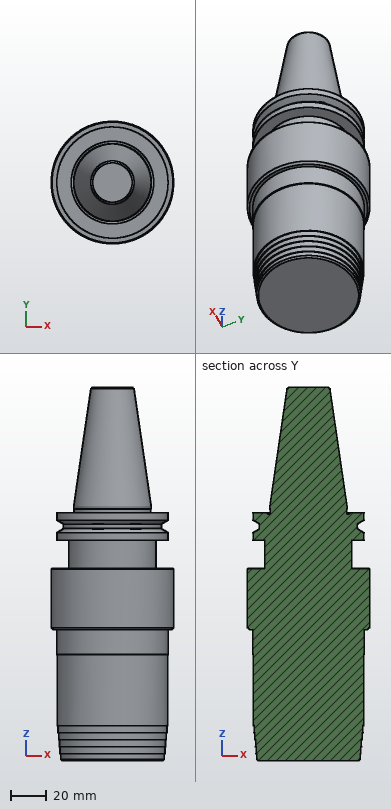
import cadquery as cq
import math


GAUGE_RADIUS = 44.45 / 2
TAPER_SLOPE = 7 / 24 / 2
SHANK_LENGTH = 68.4
SHANK_CHAMFER = 1.0
GAUGE_LAND = 1.0
RELIEF_RADIUS = 22.0

FLANGE_RADIUS = 63.55 / 2
FLANGE_TOP = -3.2
FLANGE_BOTTOM = -19.1
GROOVE_CENTER = -11.1
GROOVE_FLOOR_RADIUS = 56.25 / 2
GROOVE_FLOOR_WIDTH = 2.8
GROOVE_FILLET = 0.5
GROOVE_FLANK_ANGLE = 30.0
RECESS_RADIUS = 23.6

NECK_RADIUS = 25.0
BODY_RADIUS = 35.0
BODY_TOP = -35.0
BODY_TOP_CHAMFER = 0.5
BODY_BOTTOM = -70.2
BODY_BOTTOM_CHAMFER = 1.3

COLLAR_RADIUS = 31.9
COLLAR_BOTTOM = -84.5
SLEEVE_RADIUS = 31.6
COLLAR_CHAMFER = COLLAR_RADIUS - SLEEVE_RADIUS
SLEEVE_BOTTOM = -124.8

NOSE_RING_COUNT = 5
NOSE_RING_HEIGHT = 4.0
NOSE_RING_STEP = 0.4
NOSE_BOTTOM = -145.0
NOSE_CHAMFER = 1.0


def revolve_profile(points):
    """Solid of revolution about Z from (radius, height) points, closed along the axis."""
    bottom = points[-1][1]
    top = points[0][1]
    outline = [(0, top)] + points + [(0, bottom)]
    return cq.Workplane("XZ").polyline(outline).close().revolve(360, (0, 0, 0), (0, 1, 0))


def make_shank():
    tip_radius = GAUGE_RADIUS - SHANK_LENGTH * TAPER_SLOPE
    relief_start = -GAUGE_LAND - (GAUGE_RADIUS - RELIEF_RADIUS)
    return revolve_profile([
        (tip_radius - SHANK_CHAMFER, SHANK_LENGTH),
        (tip_radius + SHANK_CHAMFER * TAPER_SLOPE, SHANK_LENGTH - SHANK_CHAMFER),
        (GAUGE_RADIUS, 0),
        (GAUGE_RADIUS, -GAUGE_LAND),
        (RELIEF_RADIUS, relief_start),
        (RELIEF_RADIUS, FLANGE_TOP),
    ])


def make_flange():
    flank_rise = (FLANGE_RADIUS - GROOVE_FLOOR_RADIUS) * math.tan(math.radians(GROOVE_FLANK_ANGLE))
    floor_half = GROOVE_FLOOR_WIDTH / 2
    mouth_half = floor_half + flank_rise
    flange = revolve_profile([
        (FLANGE_RADIUS, FLANGE_TOP),
        (FLANGE_RADIUS, GROOVE_CENTER + mouth_half),
        (GROOVE_FLOOR_RADIUS, GROOVE_CENTER + floor_half),
        (GROOVE_FLOOR_RADIUS, GROOVE_CENTER - floor_half),
        (FLANGE_RADIUS, GROOVE_CENTER - mouth_half),
        (FLANGE_RADIUS, FLANGE_BOTTOM),
    ])
    floor_corners = cq.selectors.RadiusNthSelector(0)
    flange = flange.edges(floor_corners).fillet(GROOVE_FILLET)
    return flange.cut(make_recess())


def make_recess():
    """Ring-shaped undercut with a semicircular floor, in the flange face around the shank root."""
    floor_radius = (RECESS_RADIUS - RELIEF_RADIUS) / 2
    floor_bottom = (RELIEF_RADIUS + floor_radius, FLANGE_TOP - floor_radius)
    return (
        cq.Workplane("XZ")
        .moveTo(RELIEF_RADIUS, FLANGE_TOP)
        .threePointArc(floor_bottom, (RECESS_RADIUS, FLANGE_TOP))
        .close()
        .revolve(360, (0, 0, 0), (0, 1, 0))
    )


def nose_points():
    """Profile points of the nose rings from the sleeve down to the bottom chamfer."""
    points = []
    radius = SLEEVE_RADIUS
    height = SLEEVE_BOTTOM
    for _ in range(NOSE_RING_COUNT):
        points.append((radius, height))
        radius -= NOSE_RING_STEP
        points.append((radius, height))
        height -= NOSE_RING_HEIGHT
    points.append((radius, NOSE_BOTTOM + NOSE_CHAMFER))
    points.append((radius - NOSE_CHAMFER, NOSE_BOTTOM))
    return points


def make_chuck():
    upper_points = [
        (NECK_RADIUS, FLANGE_BOTTOM),
        (NECK_RADIUS, BODY_TOP),
        (BODY_RADIUS - BODY_TOP_CHAMFER, BODY_TOP),
        (BODY_RADIUS, BODY_TOP - BODY_TOP_CHAMFER),
        (BODY_RADIUS, BODY_BOTTOM + BODY_BOTTOM_CHAMFER),
        (BODY_RADIUS - BODY_BOTTOM_CHAMFER, BODY_BOTTOM),
        (COLLAR_RADIUS, BODY_BOTTOM),
        (COLLAR_RADIUS, COLLAR_BOTTOM + COLLAR_CHAMFER),
        (SLEEVE_RADIUS, COLLAR_BOTTOM),
    ]
    return revolve_profile(upper_points + nose_points())


result = make_chuck().union(make_flange()).union(make_shank())